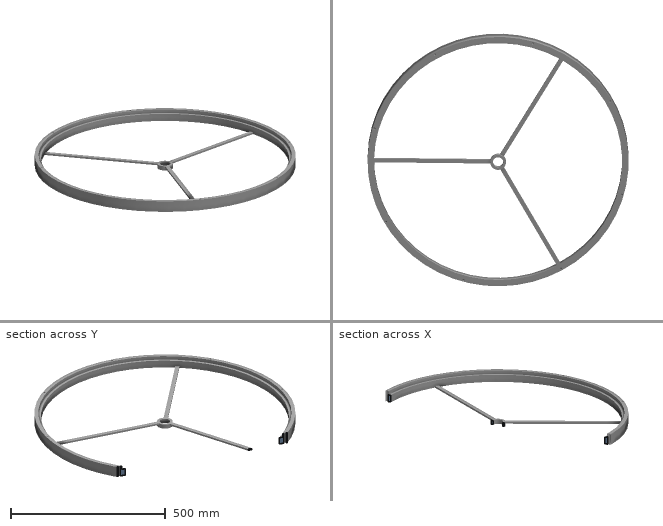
import cadquery as cq

outer_radius = 421.0
wall_inner_radius = 408.0
ledge_inner_radius = 400.0
ring_height = 36.0
ledge_height = 24.0

pin_hole_count = 8
pin_hole_diameter = 7.0
pin_circle_radius = (outer_radius + wall_inner_radius) / 2

spoke_count = 3
spoke_width = 13.5
spoke_height = 6.0
ring_overlap = 4.0

hub_outer_radius = 25.0
hub_bore_radius = 17.0
hub_drop = 8.0
hub_height = hub_drop + spoke_height


def cylinder(radius, bottom, height):
    return cq.Workplane("XY").workplane(offset=bottom).circle(radius).extrude(height)


def make_ring():
    """Ring with a wide lower part that leaves a ledge inside the wall."""
    ring = cylinder(outer_radius, 0, ring_height)
    ring = ring.cut(cylinder(ledge_inner_radius, 0, ring_height))
    return ring.cut(cylinder(wall_inner_radius, ledge_height, ring_height - ledge_height))


def make_pin_holes():
    """Cutters for the evenly spaced holes through the full ring height."""
    return (
        cq.Workplane("XY")
        .polarArray(pin_circle_radius, 0, 360, pin_hole_count)
        .circle(pin_hole_diameter / 2)
        .extrude(ring_height)
    )


def make_spokes():
    """Flat bars running from the hub into the ledge of the ring."""
    hub_middle_radius = (hub_outer_radius + hub_bore_radius) / 2
    length = ledge_inner_radius + ring_overlap - hub_middle_radius
    bar = cq.Workplane("XY").box(length, spoke_width, spoke_height, centered=(False, True, False))
    bar = bar.translate((hub_middle_radius, 0, 0))
    spokes = bar
    for index in range(1, spoke_count):
        spokes = spokes.union(bar.rotate((0, 0, 0), (0, 0, 1), index * 360 / spoke_count))
    return spokes


hub = cylinder(hub_outer_radius, -hub_drop, hub_height).cut(
    cylinder(hub_bore_radius, -hub_drop, hub_height)
)
result = make_ring().cut(make_pin_holes()).union(make_spokes()).union(hub)